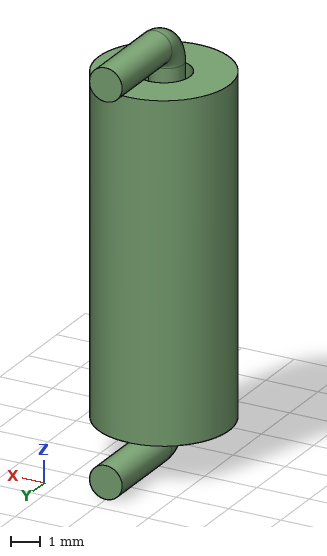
import cadquery as cq

sleeve_diameter = 5.0
bore_diameter = 2.0
sleeve_length = 12.7

wire_diameter = 1.25
overall_height = 15.87
wire_y = -0.22
lead_end_y = 4.1
bottom_drop = 1.47
top_bend_radius = 0.8

wire_radius = wire_diameter / 2
bottom_bend_radius = bottom_drop - wire_radius
bottom_lead_z = -bottom_drop + wire_radius
top_lead_z = overall_height - bottom_drop - wire_radius


def make_sleeve():
    """Plain round tube."""
    return (
        cq.Workplane("XY")
        .circle(sleeve_diameter / 2)
        .circle(bore_diameter / 2)
        .extrude(sleeve_length)
    )


def make_wire():
    """Round wire up the bore, with both ends bent over toward +Y."""
    top_bend_y = wire_y + top_bend_radius
    bottom_bend_y = wire_y + bottom_bend_radius
    path = (
        cq.Workplane("YZ")
        .moveTo(lead_end_y, bottom_lead_z)
        .lineTo(bottom_bend_y, bottom_lead_z)
        .radiusArc((wire_y, bottom_lead_z + bottom_bend_radius), bottom_bend_radius)
        .lineTo(wire_y, top_lead_z - top_bend_radius)
        .radiusArc((top_bend_y, top_lead_z), top_bend_radius)
        .lineTo(lead_end_y, top_lead_z)
    )
    lead_end = cq.Workplane("XZ", origin=(0, lead_end_y, bottom_lead_z))
    return lead_end.circle(wire_radius).sweep(path)


sleeve = make_sleeve()
wire = make_wire()

result = cq.Compound.makeCompound([sleeve.val(), wire.val()])